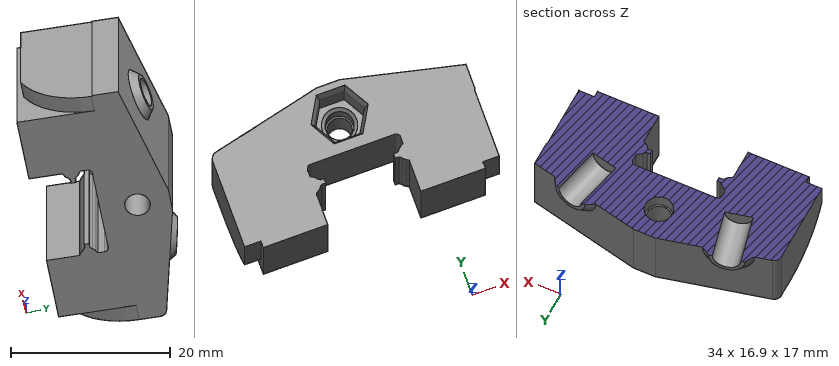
import cadquery as cq
import math

body_width = 33.9
body_depth = 16.85
height = 17.0
back_flat_width = 3.05
slope_angle = 13.0
left_corner_radius = 1.0

strip_thickness = 0.1
strip_length = 3.35

step_width = 2.18
step_depth = 0.9
lower_corner_radius = 10.0
lower_corner_center_y = 9.85

slot_width = 12.38
slot_depth = 7.95
slot_corner_radius = 0.58
rib_center_y = 5.37
rib_base_width = 2.3
rib_tip_width = 0.6
rib_shoulder_width = 1.9
rib_shoulder_length = 0.3
rib_neck_length = 1.1
rib_arc_bow = 0.05
rib_length = 1.55

hex_center_y = 12.68
hex_mouth_flats = 6.6
hex_flats = 5.75
hex_taper_depth = 1.53
hex_depth = 6.8
countersink_diameter = 4.52
bore_diameter = 3.65
bore_depth = 3.4
through_diameter = 3.2

boss_center_x = 10.68
boss_base_diameter = 6.65
boss_top_diameter = 4.7
boss_height = 1.0
boss_overlap = 0.35
boss_hole_diameter = 3.65
boss_hole_depth = 6.8

half_width = body_width / 2
half_flat = back_flat_width / 2
slope = math.tan(math.radians(slope_angle))
shoulder_y = body_depth - (half_width - half_flat) * slope


def make_body():
    body = (
        cq.Workplane("XY")
        .polyline([
            (-half_width, 0),
            (half_width, 0),
            (half_width, shoulder_y),
            (half_flat, body_depth),
            (-half_flat, body_depth),
            (-half_width, shoulder_y),
        ])
        .close()
        .extrude(height)
    )
    left_corner = cq.selectors.NearestToPointSelector((-half_width, shoulder_y, height / 2))
    body = body.edges(left_corner).fillet(left_corner_radius)
    strip = cq.Workplane("XY").box(strip_thickness, strip_length, height, centered=False)
    return body.union(strip.translate((half_width, shoulder_y - strip_length, 0)))


def make_rib():
    """Rib growing along +X from a wall at X = 0, centred on Y = 0, with S-curved flanks."""
    half_tip = rib_tip_width / 2
    half_shoulder = rib_shoulder_width / 2
    middle_x = (rib_shoulder_length + rib_neck_length) / 2
    middle_y = (half_shoulder + half_tip) / 2
    run = rib_neck_length - rib_shoulder_length
    drop = half_shoulder - half_tip
    bow_x = rib_arc_bow * drop / math.hypot(run, drop)
    bow_y = rib_arc_bow * run / math.hypot(run, drop)
    convex_mid = (
        (rib_shoulder_length + middle_x) / 2 + bow_x,
        (half_shoulder + middle_y) / 2 + bow_y,
    )
    concave_mid = (
        (middle_x + rib_neck_length) / 2 - bow_x,
        (middle_y + half_tip) / 2 - bow_y,
    )
    half_rib = (
        cq.Workplane("XY")
        .lineTo(0, rib_base_width / 2)
        .lineTo(rib_shoulder_length, half_shoulder)
        .threePointArc(convex_mid, (middle_x, middle_y))
        .threePointArc(concave_mid, (rib_neck_length, half_tip))
        .lineTo(rib_length, half_tip)
        .lineTo(rib_length, 0)
        .close()
        .extrude(height)
    )
    return half_rib.union(half_rib.mirror("XZ"))


def make_slot():
    slot = (
        cq.Workplane("XY")
        .rect(slot_width, 2 * slot_depth)
        .extrude(height)
        .edges("|Z and >Y")
        .fillet(slot_corner_radius)
    )
    left_rib = make_rib().translate((-slot_width / 2, rib_center_y, 0))
    return slot.cut(left_rib).cut(left_rib.mirror("YZ"))


def make_side_relief(side):
    """Material removed from one outer side: the front step and the round lower corner."""
    relief_width = step_width + strip_thickness
    center_x = side * (half_width - step_width + relief_width / 2)
    step = cq.Workplane("XY").box(
        relief_width, step_depth, height, centered=(True, False, False)
    )
    corner = cq.Workplane("XY").box(
        relief_width, lower_corner_center_y, lower_corner_radius, centered=(True, False, False)
    )
    cylinder = (
        cq.Workplane("YZ")
        .center(lower_corner_center_y, lower_corner_radius)
        .circle(lower_corner_radius)
        .extrude(relief_width / 2, both=True)
    )
    return step.union(corner.cut(cylinder)).translate((center_x, 0, 0))


def make_nut_pocket():
    corners_per_flats = 1 / math.cos(math.pi / 6)
    top = cq.Workplane("XY", origin=(0, hex_center_y, height))
    mouth = (
        top.polygon(6, hex_mouth_flats * corners_per_flats)
        .workplane(offset=-hex_taper_depth)
        .polygon(6, hex_flats * corners_per_flats)
        .loft(ruled=True)
    )
    pocket = top.polygon(6, hex_flats * corners_per_flats).extrude(-hex_depth)
    floor = cq.Workplane("XY", origin=(0, hex_center_y, height - hex_depth))
    countersink_depth = (countersink_diameter - bore_diameter) / 2
    countersink = (
        floor.circle(countersink_diameter / 2)
        .workplane(offset=-countersink_depth)
        .circle(bore_diameter / 2)
        .loft()
    )
    bore = floor.circle(bore_diameter / 2).extrude(-bore_depth)
    through = floor.circle(through_diameter / 2).extrude(hex_depth - height)
    return mouth.union(pocket).union(countersink).union(bore).union(through)


def slope_plane(side):
    """Plane on one sloped back face, centred on its boss and facing outward."""
    angle = math.radians(slope_angle)
    face_y = body_depth - (boss_center_x - half_flat) * slope
    return cq.Plane(
        origin=(side * boss_center_x, face_y, height / 2),
        xDir=(0, 0, 1),
        normal=(side * math.sin(angle), math.cos(angle), 0),
    )


def make_boss(side):
    face = cq.Workplane(slope_plane(side))
    root = face.circle(boss_base_diameter / 2).extrude(-boss_overlap)
    cone = (
        face.circle(boss_base_diameter / 2)
        .workplane(offset=boss_height)
        .circle(boss_top_diameter / 2)
        .loft()
    )
    return root.union(cone)


def make_boss_hole(side):
    boss_top = cq.Workplane(slope_plane(side)).workplane(offset=boss_height)
    return boss_top.circle(boss_hole_diameter / 2).extrude(-boss_hole_depth)


result = make_body().cut(make_slot()).cut(make_nut_pocket())
for side in (-1, 1):
    result = result.cut(make_side_relief(side))
    result = result.union(make_boss(side))
    result = result.cut(make_boss_hole(side))

result = result.translate((-strip_thickness / 2, 0, 0))